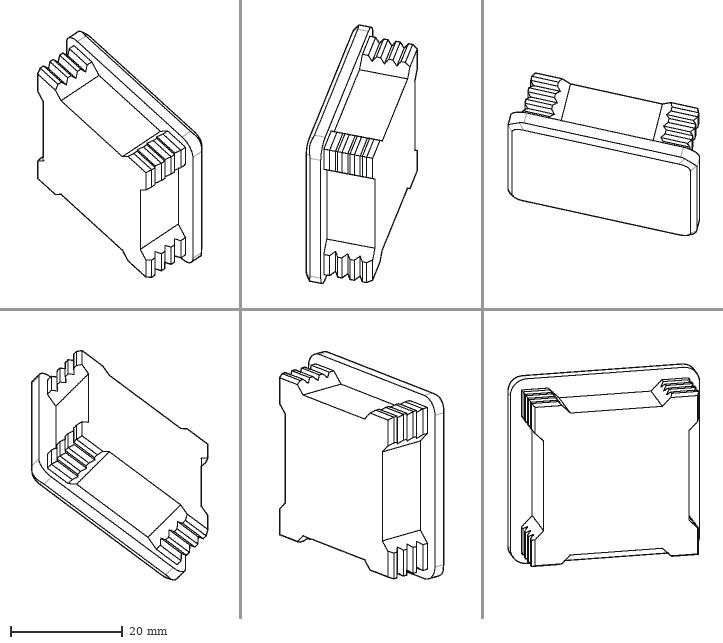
import cadquery as cq


plate_width = 35.0
plate_thickness = 3.0
plate_chamfer = 1.0
corner_radius = 3.0

plug_width = 30.9
plug_depth = 9.0

groove_count = 3
groove_pitch = 2.3
first_land_length = 1.1
groove_depth = 0.66
groove_lead_length = 0.9
groove_return_length = 0.6
tip_taper_length = plug_depth - first_land_length - groove_count * groove_pitch
tip_taper_depth = 0.45

recess_floor_width = 17.0
recess_depth = 2.0


def make_plate():
    """Square plate with a 45 degree bevel on its outer face, rounded at the corners and the bevel mitres."""
    rounded_block = (
        cq.Workplane("XY")
        .box(plate_width, plate_thickness, plate_width, centered=(True, False, True))
        .edges("|Y")
        .fillet(corner_radius)
    )
    top_width = plate_width - 2 * plate_chamfer
    base_width = top_width + 2 * plate_thickness
    bevel_frustum = (
        cq.Workplane("XZ")
        .rect(base_width, base_width)
        .workplane(offset=-plate_thickness)
        .rect(top_width, top_width)
        .loft(ruled=True)
        .edges("not #Y")
        .fillet(corner_radius)
    )
    return rounded_block.intersect(bevel_frustum)


def ridge_outline():
    """Ridged half outline of the plug as (distance from axis, y), from the plate to the plug end."""
    half_width = plug_width / 2
    points = [(half_width, 0)]
    for index in range(groove_count):
        start = first_land_length + index * groove_pitch
        bottom = start + groove_lead_length
        points.append((half_width, -start))
        points.append((half_width - groove_depth, -bottom))
        points.append((half_width, -(bottom + groove_return_length)))
    points.append((half_width, tip_taper_length - plug_depth))
    points.append((half_width - tip_taper_depth, -plug_depth))
    return points


def make_ridged_block():
    """Square block whose four sides carry the ridges, mitred at the corners."""
    right_side = ridge_outline()
    left_side = [(-x, y) for x, y in reversed(right_side)]
    ridged_in_x = (
        cq.Workplane("XY").polyline(right_side + left_side).close().extrude(plug_width / 2, both=True)
    )
    ridged_in_z = ridged_in_x.rotate((0, 0, 0), (0, 1, 0), 90)
    return ridged_in_x.intersect(ridged_in_z)


def make_recess():
    """Cutter for the recess on the +Z side of the plug."""
    floor = plug_width / 2 - recess_depth
    half_floor = recess_floor_width / 2
    half_mouth = half_floor + recess_depth
    outline = [
        (-half_floor, floor),
        (half_floor, floor),
        (half_mouth, floor + recess_depth),
        (-half_mouth, floor + recess_depth),
    ]
    return cq.Workplane("XZ").polyline(outline).close().extrude(plug_depth)


def make_plug():
    """Ridged block with a recess in each of its four sides."""
    plug = make_ridged_block()
    recess = make_recess()
    for quarter_turn in range(4):
        plug = plug.cut(recess.rotate((0, 0, 0), (0, 1, 0), 90 * quarter_turn))
    return plug


result = make_plate().union(make_plug())